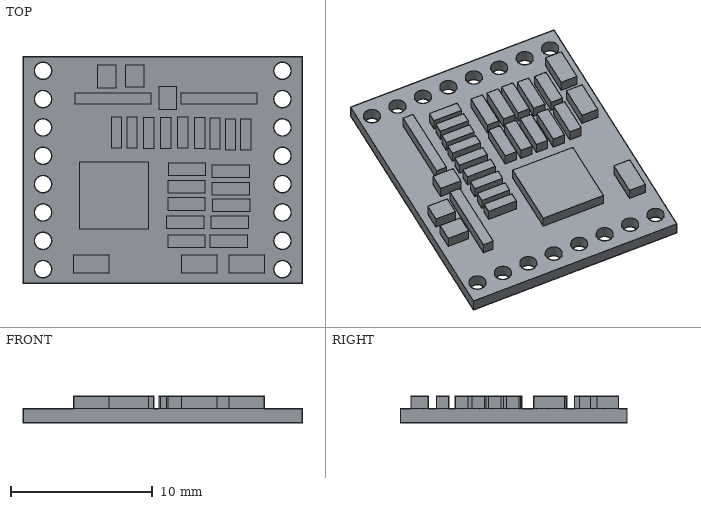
import cadquery as cq

board_length = 19.7
board_width = 16.0
board_thickness = 1.0
total_height = 1.9
component_height = total_height - board_thickness

hole_diameter = 1.2
holes_per_row = 8
hole_row_length = 14.0
hole_pitch = hole_row_length / (holes_per_row - 1)
hole_row_spacing = 16.9

main_chip_size = (4.89, 4.73)
pin_strip_size = (5.35, 0.77)
upright_resistor_size = (0.73, 2.19)
flat_resistor_size = (2.64, 0.89)
large_capacitor_size = (2.5, 1.25)
tall_capacitor_size = (1.3, 1.6)
short_capacitor_size = (1.3, 1.54)
centre_capacitor_size = (1.25, 1.6)

main_chip_centre = (-3.45, -1.8)
tall_capacitor_centre = (-3.94, 6.6)
short_capacitor_centre = (-1.97, 6.64)
centre_capacitor_centre = (0.35, 5.08)

pin_strip_y = 5.05
pin_strip_centres = [(-3.53, pin_strip_y), (3.98, pin_strip_y)]

large_capacitor_y = -6.64
large_capacitor_centres = [(x, large_capacitor_y) for x in (-5.05, 2.58, 5.93)]

upright_resistor_centres = [
    (-3.27, 2.65),
    (-2.17, 2.65),
    (-0.98, 2.62),
    (0.22, 2.62),
    (1.42, 2.65),
    (2.62, 2.62),
    (3.68, 2.58),
    (4.79, 2.5),
    (5.85, 2.5),
]
inner_resistor_centres = [
    (1.71, 0.04),
    (1.67, -1.18),
    (1.67, -2.4),
    (1.6, -3.68),
    (1.67, -5.02),
]
outer_resistor_centres = [
    (4.79, -0.08),
    (4.79, -1.34),
    (4.83, -2.5),
    (4.73, -3.68),
    (4.67, -5.02),
]


def make_board():
    """Plate with the two rows of through holes."""
    plate = cq.Workplane("XY").box(
        board_length, board_width, board_thickness, centered=(True, True, False)
    )
    return (
        plate.faces(">Z")
        .workplane()
        .rarray(hole_row_spacing, hole_pitch, 2, holes_per_row)
        .hole(hole_diameter)
    )


def make_components(size, centres):
    """Equal rectangular blocks standing on the top face of the board."""
    return (
        cq.Workplane("XY", origin=(0, 0, board_thickness))
        .pushPoints(centres)
        .rect(*size)
        .extrude(component_height)
    )


component_groups = [
    (main_chip_size, [main_chip_centre]),
    (pin_strip_size, pin_strip_centres),
    (upright_resistor_size, upright_resistor_centres),
    (flat_resistor_size, inner_resistor_centres + outer_resistor_centres),
    (large_capacitor_size, large_capacitor_centres),
    (tall_capacitor_size, [tall_capacitor_centre]),
    (short_capacitor_size, [short_capacitor_centre]),
    (centre_capacitor_size, [centre_capacitor_centre]),
]

result = make_board()
for size, centres in component_groups:
    result = result.union(make_components(size, centres))